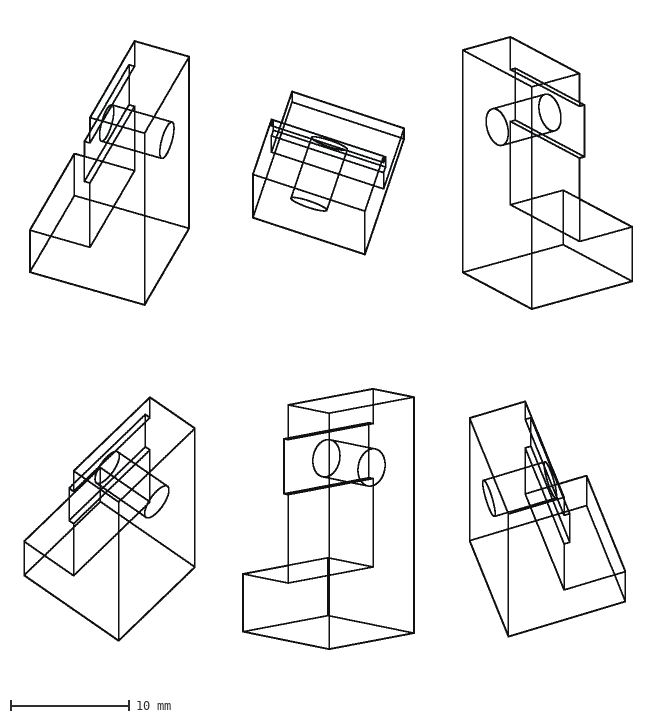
import cadquery as cq

length = 10.5
width = 10.0
height = 20.38

wall = 5.0
upright_face_x = length - wall

hole_diameter = 3.2
hole_z = 15.0
pad_height = 4.75
pad_depth = 0.5


def make_body():
    """L-shaped block, centred on Y, with its foot pointing toward -X."""
    foot = cq.Workplane("XY").box(length, width, wall, centered=(False, True, False))
    upright = (
        cq.Workplane("XY")
        .box(wall, width, height, centered=(False, True, False))
        .translate((upright_face_x, 0, 0))
    )
    return foot.union(upright)


def make_pad():
    """Full-width pad standing proud of the upright's -X face."""
    return (
        cq.Workplane("XY")
        .box(pad_depth, width, pad_height, centered=(False, True, True))
        .translate((upright_face_x - pad_depth, 0, hole_z))
    )


def make_hole():
    """Cylinder along X that passes through the pad and the upright."""
    return (
        cq.Workplane("YZ")
        .center(0, hole_z)
        .circle(hole_diameter / 2)
        .extrude(length)
    )


result = make_body().union(make_pad()).cut(make_hole())